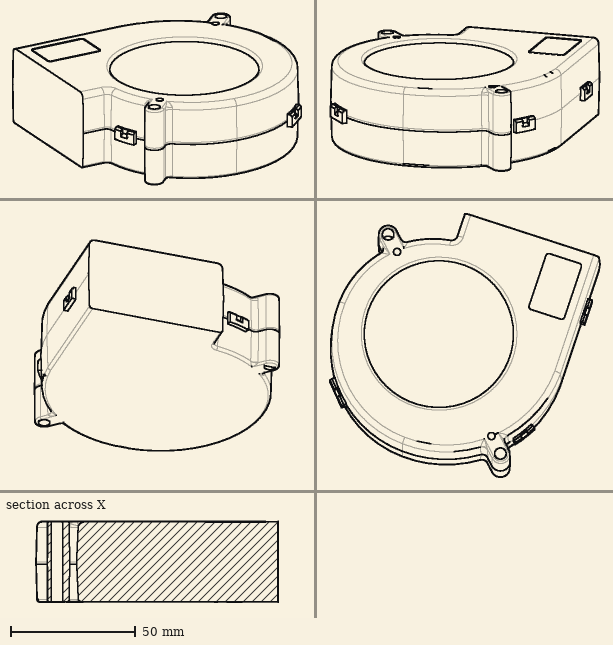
import cadquery as cq
import math

HEIGHT = 32.5
SEAM_Z = HEIGHT / 2
LIP_HEIGHT = 1.0
LIP_END = (-40.0, 31.0)
LARGE = 300.0
DRAFT = 1.6
SPIRAL_START_RADIUS = 42.6
SPIRAL_GROWTH = 4.75 / 90
TAIL_GROWTH = 3.9 / 90
THROAT_ANGLE = -81.3
OUTLET_Y = -50.0
OUTLET_LEFT_X = -51.75
THROAT_FILLET = 2.0
OUTLET_OVERRUN = 10.0
TOP_ROUND = 2.4
BOTTOM_ROUND = 1.2

INLET_DIAMETER = 60.0
INLET_RIM_DIAMETER = 62.6
INLET_DEPTH = 1.6

LABEL_WIDTH = 15.0
LABEL_LENGTH = 24.0
LABEL_CENTRE = (-38.4, -32.9)
LABEL_CORNER = 1.2
LABEL_DEPTH = 0.3

EARS = [(135.0, 55.0), (-45.0, 45.3)]
BLOCKED_EAR = EARS[1]
EAR_RADIUS = 3.95
EAR_DRAFT = 0.5
EAR_LENGTH = 14.0
EAR_ROUND = 0.8
EAR_CORNER_FILLET = 2.4
EAR_HOLE_DIAMETER = 4.6
DIMPLE_DIAMETER = 2.9
DIMPLE_DEPTH = 0.9
DIMPLE_SETBACK = 8.0

LATCH_BOTTOM_Z = 13.0
LATCH_TOP_Z = 18.25
LATCH_PROTRUSION = 1.7
LATCH_BEVEL = 0.9
LATCH_ROOT = 2.0
LATCH_WIDTH = 9.8
WIDE_LATCH_WIDTH = 11.6
LATCH_SLOT_WIDTH = 3.2
LATCH_SLOT_Z = 15.0
LATCH_SLOT_DEPTH = 1.2
CURVED_LATCH_ANGLES = [150.1, -65.3]
WIDE_LATCH_ANGLE = 45.9
OUTLET_LATCH_Y = -29.9


def spiral_radius(angle):
    growth = SPIRAL_GROWTH if angle > 0 else TAIL_GROWTH
    return SPIRAL_START_RADIUS + growth * angle


def polar_point(radius, angle):
    a = math.radians(angle)
    return (radius * math.cos(a), radius * math.sin(a))


def spiral_point(angle):
    return polar_point(spiral_radius(angle), angle)


def wall_normal(angle):
    """Direction in degrees of the outward normal of the spiral wall."""
    growth_per_radian = math.degrees(SPIRAL_GROWTH)
    return angle - math.degrees(math.atan(growth_per_radian / spiral_radius(angle)))


def casing_half(height, round_radius):
    """One half shell: drafted from the seam to a rounded outer face."""
    throat_x, throat_y = spiral_point(THROAT_ANGLE)
    end_y = OUTLET_Y - OUTLET_OVERRUN
    blank = (
        cq.Workplane("XY")
        .moveTo(throat_x, end_y)
        .lineTo(throat_x, throat_y)
        .threePointArc(spiral_point(THROAT_ANGLE / 2), spiral_point(0))
        .threePointArc(spiral_point(45), spiral_point(90))
        .threePointArc(spiral_point(135), (OUTLET_LEFT_X, 0))
        .lineTo(OUTLET_LEFT_X, end_y)
        .close()
        .extrude(height)
    )
    throat = cq.selectors.NearestToPointSelector((throat_x, throat_y, height / 2))
    outline = blank.edges(throat).fillet(THROAT_FILLET).faces("<Z").wires().val()
    half = cq.Workplane("XY").add(outline).toPending().extrude(height, taper=DRAFT)
    return half.faces(">Z").edges().fillet(round_radius)


def ear_half(direction, distance, height):
    """One half of a mounting ear, drafted and rounded like the casing halves."""
    return (
        cq.Workplane("XY")
        .moveTo(-EAR_LENGTH, -EAR_RADIUS)
        .lineTo(0, -EAR_RADIUS)
        .threePointArc((EAR_RADIUS, 0), (0, EAR_RADIUS))
        .lineTo(-EAR_LENGTH, EAR_RADIUS)
        .close()
        .extrude(height, taper=EAR_DRAFT)
        .faces(">Z")
        .edges()
        .fillet(EAR_ROUND)
        .translate((distance, 0, 0))
        .rotate((0, 0, 0), (0, 0, 1), direction)
    )


def shell_half(height, round_radius):
    """One half shell with its ears blended into the wall by corner fillets."""
    half = casing_half(height, round_radius)
    for direction, distance in EARS:
        half = half.union(ear_half(direction, distance, height))
    for direction, distance in EARS:
        for side in (-1, 1):
            half = fillet_ear_corner(half, direction, side, height)
    return half


def fillet_ear_corner(half, direction, side, height):
    """Fillet the upright inner corner between the spiral wall and one flank of an ear."""
    radius = spiral_radius(direction)
    corner_angle = direction + side * math.degrees(math.asin(EAR_RADIUS / radius))
    corner = (*spiral_point(corner_angle), height / 2)
    return half.edges(cq.selectors.NearestToPointSelector(corner)).fillet(EAR_CORNER_FILLET)


def cut_ear_hole(body, direction, distance):
    hole = cq.Workplane("XY").center(*polar_point(distance, direction)).circle(EAR_HOLE_DIAMETER / 2)
    return body.cut(hole.extrude(HEIGHT))


def cut_dimple(body, direction, distance):
    """Shallow conical dimple in the top face beside an ear."""
    x, y = polar_point(distance - DIMPLE_SETBACK, direction)
    cone = cq.Solid.makeCone(0, DIMPLE_DIAMETER / 2, DIMPLE_DEPTH, pnt=(x, y, HEIGHT - DIMPLE_DEPTH))
    return body.cut(cq.Workplane(cone))


def half_hole_plug(direction, distance):
    """Web filling the -Y half of an ear hole below the seam."""
    x, y = polar_point(distance, direction)
    radius = EAR_HOLE_DIAMETER / 2
    return (
        cq.Workplane("XY")
        .moveTo(x - radius, y)
        .threePointArc((x, y - radius), (x + radius, y))
        .close()
        .extrude(SEAM_Z)
    )


def inlet_recess():
    """Round recess whose wall flares out to the rim along an arc."""
    floor_radius = INLET_DIAMETER / 2
    floor_z = HEIGHT - INLET_DEPTH
    rim_radius = INLET_RIM_DIAMETER / 2
    disc = cq.Workplane("XY").workplane(offset=floor_z).circle(rim_radius).extrude(INLET_DEPTH)
    lip = (
        cq.Workplane("XZ")
        .moveTo(floor_radius, floor_z)
        .radiusArc((rim_radius, HEIGHT), INLET_DEPTH)
        .lineTo(rim_radius, floor_z)
        .close()
        .revolve(360, (0, 0, 0), (0, 1, 0))
    )
    return disc.cut(lip)


def label_recess():
    return (
        cq.Workplane("XY")
        .workplane(offset=HEIGHT - LABEL_DEPTH)
        .center(*LABEL_CENTRE)
        .rect(LABEL_WIDTH, LABEL_LENGTH)
        .extrude(LABEL_DEPTH)
        .edges("|Z")
        .fillet(LABEL_CORNER)
    )


def latch_profile(face):
    """Latch section in XZ with its outer face at x = face."""
    root = face - LATCH_PROTRUSION - LATCH_ROOT
    return [
        (root, LATCH_BOTTOM_Z),
        (face, LATCH_BOTTOM_Z),
        (face, LATCH_TOP_Z - LATCH_BEVEL),
        (face - LATCH_BEVEL, LATCH_TOP_Z),
        (root, LATCH_TOP_Z),
    ]


def latch_slot(face):
    """Notch through the top middle of a latch, with a floor that rises inwards at 45 degrees."""
    back = face - LATCH_SLOT_DEPTH
    outline = [
        (face, LATCH_SLOT_Z),
        (back, LATCH_SLOT_Z + LATCH_SLOT_DEPTH),
        (back, LATCH_TOP_Z),
        (face, LATCH_TOP_Z),
    ]
    return cq.Workplane("XZ").polyline(outline).close().extrude(LATCH_SLOT_WIDTH / 2, both=True)


def straight_latch(face, width):
    """Flat-faced latch pointing along +X."""
    block = cq.Workplane("XZ").polyline(latch_profile(face)).close().extrude(width / 2, both=True)
    return block.cut(latch_slot(face))


def curved_latch(face):
    """Latch pointing along +X, bent around the Z axis."""
    span = math.degrees(LATCH_WIDTH / face)
    block = (
        cq.Workplane("XZ")
        .polyline(latch_profile(face))
        .close()
        .revolve(span, (0, 0, 0), (0, 1, 0))
        .rotate((0, 0, 0), (0, 0, 1), -span / 2)
    )
    return block.cut(latch_slot(face))


def place_on_spiral(latch, angle):
    """Turn a latch about its own wall point so that it faces along the wall normal."""
    x, y = spiral_point(angle)
    turned = latch.translate((-spiral_radius(angle), 0, 0)).rotate((0, 0, 0), (0, 0, 1), wall_normal(angle))
    return turned.translate((x, y, 0))


def seam_lip(lower_half):
    """Undrafted band under the seam, left out along the left side of the casing."""
    band = lower_half.faces(">Z").wires().toPending().extrude(-LIP_HEIGHT, combine=False)
    end_x, end_y = LIP_END
    left_side = cq.Workplane("XY").rect(LARGE, LARGE).extrude(LARGE, both=True)
    return band.cut(left_side.translate((end_x - LARGE / 2, end_y - LARGE / 2, 0)))


def trim_outlet(body):
    """Cut the outlet mouth off flat."""
    block = cq.Workplane("XY").box(LARGE, LARGE, LARGE)
    return body.cut(block.translate((0, OUTLET_Y - LARGE / 2, 0)))


def add_latches(body):
    for angle in CURVED_LATCH_ANGLES:
        latch = curved_latch(spiral_radius(angle) + LATCH_PROTRUSION)
        body = body.union(place_on_spiral(latch, angle))
    wide_face = spiral_radius(WIDE_LATCH_ANGLE) + LATCH_PROTRUSION
    wide_latch = straight_latch(wide_face, WIDE_LATCH_WIDTH)
    body = body.union(place_on_spiral(wide_latch, WIDE_LATCH_ANGLE))
    outlet_latch = straight_latch(LATCH_PROTRUSION - OUTLET_LEFT_X, LATCH_WIDTH)
    outlet_latch = outlet_latch.rotate((0, 0, 0), (0, 0, 1), 180)
    return body.union(outlet_latch.translate((0, OUTLET_LATCH_Y, 0)))


upper = shell_half(SEAM_Z, TOP_ROUND)
lower = shell_half(SEAM_Z, BOTTOM_ROUND).mirror("XY")
lower = lower.union(seam_lip(lower))
result = trim_outlet(upper.union(lower).translate((0, 0, SEAM_Z)))

for ear_direction, ear_distance in EARS:
    result = cut_ear_hole(result, ear_direction, ear_distance)
    result = cut_dimple(result, ear_direction, ear_distance)
result = result.union(half_hole_plug(*BLOCKED_EAR))
result = result.cut(inlet_recess()).cut(label_recess())
result = add_latches(result).solids()